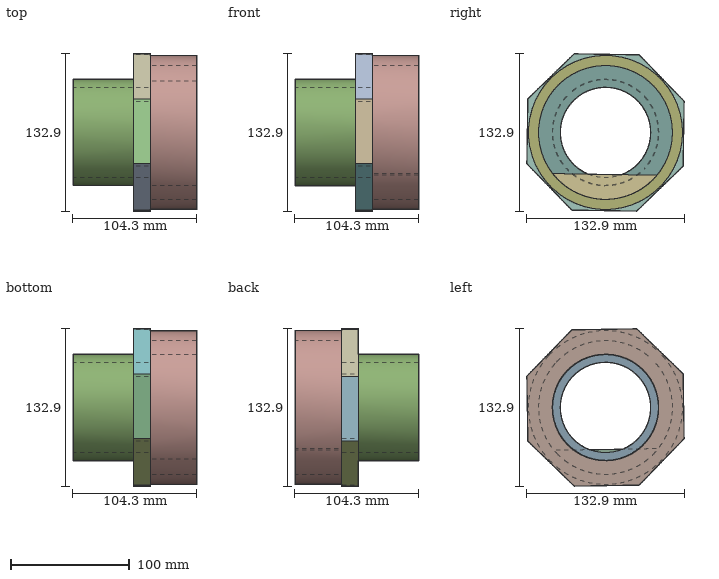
import cadquery as cq
import math

overall_length = 104.3
overall_width = 132.9

spigot_diameter = 90.0
spigot_length = 50.9
spigot_chamfer = 0.4
bore_diameter = 76.0

flange_thickness = 14.2
flange_sides = 8
flange_tilt = 0.9

socket_outer_diameter = 130.0
socket_inner_diameter = 113.0
socket_start = spigot_length + flange_thickness
socket_length = overall_length - socket_start

insert_flat_offset = 35.4

corner_angle = math.radians(180 / flange_sides - flange_tilt)
flange_corner_diameter = overall_width / math.cos(corner_angle)


def cylinder_along_x(diameter, start, length):
    return cq.Workplane("YZ", origin=(start, 0, 0)).circle(diameter / 2).extrude(length)


def tilt_about_axis(body):
    return body.rotate((0, 0, 0), (1, 0, 0), -flange_tilt)


def make_flange():
    half_side_angle = 180 / flange_sides
    octagon = (
        cq.Workplane("YZ", origin=(spigot_length, 0, 0))
        .polygon(flange_sides, flange_corner_diameter)
        .extrude(flange_thickness)
        .rotate((0, 0, 0), (1, 0, 0), half_side_angle)
    )
    return tilt_about_axis(octagon)


def make_adapter():
    """Chamfered spigot, octagonal flange and socket, with a stepped bore."""
    spigot = cylinder_along_x(spigot_diameter, 0, spigot_length)
    spigot = spigot.faces("<X").edges().chamfer(spigot_chamfer)
    socket = cylinder_along_x(socket_outer_diameter, socket_start, socket_length)
    bore = cylinder_along_x(bore_diameter, 0, overall_length)
    socket_recess = cylinder_along_x(socket_inner_diameter, socket_start, socket_length)
    return spigot.union(make_flange()).union(socket).cut(bore).cut(socket_recess)


def make_insert():
    """Round segment lying in the bottom of the socket, its flat parallel to a flange side."""
    radius = socket_inner_diameter / 2
    half_chord = math.sqrt(radius**2 - insert_flat_offset**2)
    segment = (
        cq.Workplane("YZ", origin=(socket_start, 0, 0))
        .moveTo(-half_chord, -insert_flat_offset)
        .threePointArc((0, -radius), (half_chord, -insert_flat_offset))
        .close()
        .extrude(socket_length)
    )
    return tilt_about_axis(segment)


adapter = make_adapter()
insert = make_insert()

result = cq.Compound.makeCompound([adapter.val(), insert.val()])